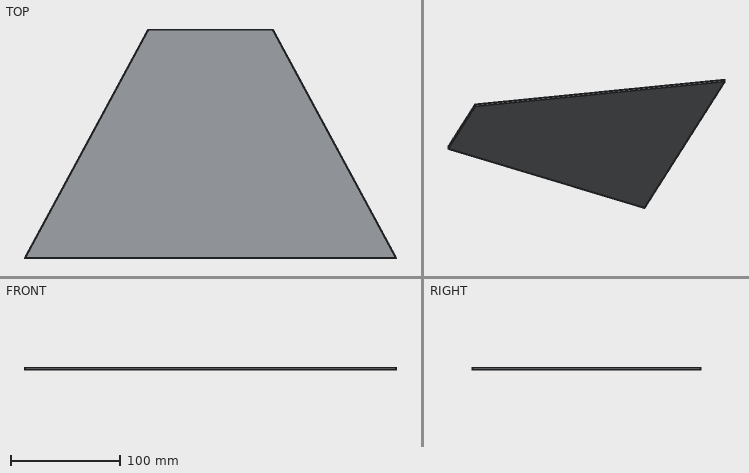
import cadquery as cq

front_width = 340.0
back_width = 114.2
depth = 209.0
thickness = 2.0

front_y = -depth / 2
back_y = depth / 2

outline = [
    (-front_width / 2, front_y),
    (front_width / 2, front_y),
    (back_width / 2, back_y),
    (-back_width / 2, back_y),
]

result = cq.Workplane("XY").polyline(outline).close().extrude(thickness)